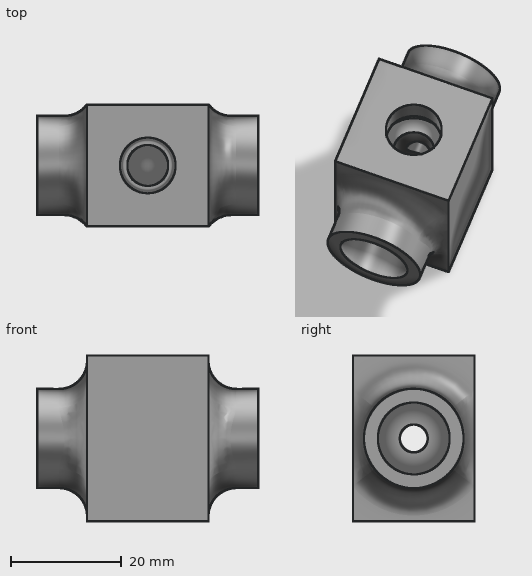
import cadquery as cq

body_width = 22.0
body_height = 30.0

overall_length = 40.0
stub_diameter = 18.0
stub_fillet = 5.0

socket_diameter = 13.0
socket_depth = 10.0
passage_diameter = 5.0

mouth_diameter = 10.1
mouth_depth = 4.8
chamber_top_diameter = 15.0
chamber_floor_diameter = 13.0
chamber_height = 4.0
well_diameter = 7.4
well_floor_z = -5.0


def cylinder_along_x(diameter, length, start_x):
    return cq.Workplane("YZ", origin=(start_x, 0, 0)).circle(diameter / 2).extrude(length)


def top_port():
    top_z = body_height / 2
    chamber_top_z = top_z - mouth_depth
    chamber_floor_z = chamber_top_z - chamber_height
    half_section = (
        cq.Workplane("XZ")
        .moveTo(0, top_z)
        .lineTo(mouth_diameter / 2, top_z)
        .lineTo(mouth_diameter / 2, chamber_top_z)
        .lineTo(chamber_top_diameter / 2, chamber_top_z)
        .lineTo(chamber_floor_diameter / 2, chamber_floor_z)
        .lineTo(well_diameter / 2, chamber_floor_z)
        .lineTo(well_diameter / 2, well_floor_z)
        .lineTo(0, well_floor_z)
        .close()
    )
    return half_section.revolve(360, (0, 0, 0), (0, 1, 0))


end_x = overall_length / 2

block = cq.Workplane("XY").box(body_width, body_width, body_height)
body = block.union(cylinder_along_x(stub_diameter, overall_length, -end_x))
for side in (-1, 1):
    root = cq.selectors.NearestToPointSelector((side * body_width / 2, 0, 0))
    body = body.faces(root).edges("%CIRCLE").edges(root).fillet(stub_fillet)

body = body.cut(cylinder_along_x(passage_diameter, overall_length, -end_x))
for start_x in (-end_x, end_x - socket_depth):
    body = body.cut(cylinder_along_x(socket_diameter, socket_depth, start_x))

result = body.cut(top_port())